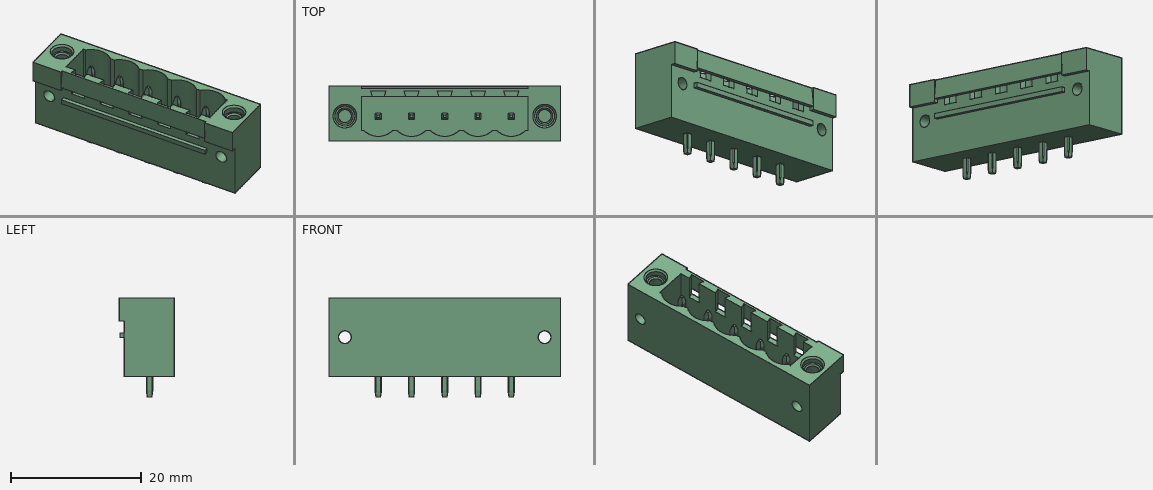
import cadquery as cq


length = 35.4
total_depth = 8.43
height = 12.05
body_depth = 7.68

end_lip_height = 3.55
mid_lip_height = 3.0
mid_lip_top_y = 8.07
mid_lip_bottom_y = 8.4

rib_bottom = 5.95
rib_height = 0.75
rib_depth = 0.65

pin_count = 5
pin_span = 20.32
pin_y = 3.8
pin_width = 1.0
pin_corner = 0.15
pin_bottom = -3.15
pin_top = 11.05
top_taper = 1.17
top_tip_width = 0.42
bottom_taper = 0.95
bottom_tip_width = 0.7

cavity_length = 25.5
cavity_front = 1.63
cavity_back = 6.83
cavity_floor = 2.83
bay_radius = 3.08

slot_mouth = 1.85
slot_root = 2.3
slot_floor = 7.95

flange_x = 15.25
insert_y = 3.82
insert_radius = 1.52
insert_top = 10.97
insert_length = 3.0
bore_radius = 1.0
bore_chamfer = 0.25
seat_chamfer = 0.3
cross_hole_diameter = 1.9
cross_hole_z = height / 2

insert_bottom = insert_top - insert_length
pin_pitch = pin_span / (pin_count - 1)
pin_positions = [(i - (pin_count - 1) / 2) * pin_pitch for i in range(pin_count)]


def box(x_size, y_min, y_max, z_min, z_max):
    """Box centred on X, given by its limits in Y and Z."""
    return (
        cq.Workplane("XY", origin=(0, (y_min + y_max) / 2, z_min))
        .rect(x_size, y_max - y_min)
        .extrude(z_max - z_min)
    )


def make_block():
    """Outer shape: body, lips and rib."""
    body = box(length, 0, body_depth, 0, height)
    end_lip_bottom = height - end_lip_height
    end_lips = box(length, body_depth, total_depth, end_lip_bottom, height).cut(
        box(cavity_length, body_depth, total_depth, end_lip_bottom, height)
    )
    mid_lip = (
        cq.Workplane("YZ", origin=(-cavity_length / 2, 0, 0))
        .moveTo(body_depth, height)
        .lineTo(mid_lip_top_y, height)
        .lineTo(mid_lip_bottom_y, height - mid_lip_height)
        .lineTo(body_depth, height - mid_lip_height)
        .close()
        .extrude(cavity_length)
    )
    rib = box(cavity_length, body_depth, body_depth + rib_depth, rib_bottom, rib_bottom + rib_height)
    return body.union(end_lips).union(mid_lip).union(rib)


def make_cavity():
    """Plug opening, with its front wall scalloped by cylinders around the contacts."""
    cavity = box(cavity_length, cavity_front, cavity_back, cavity_floor, height)
    bay_limits = box(cavity_length, 0, cavity_back, cavity_floor, height)
    for x in pin_positions:
        bay = (
            cq.Workplane("XY", origin=(x, pin_y, cavity_floor))
            .circle(bay_radius)
            .extrude(height - cavity_floor)
        )
        cavity = cavity.union(bay.intersect(bay_limits))
    return cavity


def make_slot(x):
    """Dovetail slot, as deep as the body, so that its foot opens at the back below the middle lip."""
    return (
        cq.Workplane("XY", origin=(x, 0, slot_floor))
        .moveTo(-slot_mouth / 2, cavity_back)
        .lineTo(-slot_root / 2, body_depth)
        .lineTo(slot_root / 2, body_depth)
        .lineTo(slot_mouth / 2, cavity_back)
        .close()
        .extrude(height - slot_floor)
    )


def make_seat(x):
    """Chamfered blind hole that holds an insert below the top face."""
    rim_radius = insert_radius + seat_chamfer
    return (
        cq.Workplane("XZ", origin=(x, insert_y, 0))
        .moveTo(0, insert_bottom)
        .lineTo(insert_radius, insert_bottom)
        .lineTo(insert_radius, height - seat_chamfer)
        .lineTo(rim_radius, height)
        .lineTo(0, height)
        .close()
        .revolve(360, (0, 0, 0), (0, 1, 0))
    )


def make_cross_hole(x):
    """Hole through the full depth of the block, along Y."""
    return (
        cq.Workplane("XZ", origin=(x, 0, cross_hole_z))
        .circle(cross_hole_diameter / 2)
        .extrude(-total_depth)
    )


def make_pin_blank(x):
    """Square contact with chamfered long edges, before its ends are tapered."""
    return (
        cq.Workplane("XY", origin=(x, pin_y, pin_bottom))
        .rect(pin_width, pin_width)
        .extrude(pin_top - pin_bottom)
        .edges("|Z")
        .chamfer(pin_corner)
    )


def make_pin(x):
    """Contact with a pyramid taper at both ends."""
    top_start = pin_top - top_taper
    bottom_start = pin_bottom + bottom_taper
    envelope = (
        cq.Workplane("XY", origin=(x, pin_y, bottom_start))
        .rect(pin_width, pin_width)
        .extrude(top_start - bottom_start)
    )
    top_end = (
        cq.Workplane("XY", origin=(x, pin_y, top_start))
        .rect(pin_width, pin_width)
        .workplane(offset=top_taper)
        .rect(top_tip_width, top_tip_width)
        .loft(ruled=True)
    )
    bottom_end = (
        cq.Workplane("XY", origin=(x, pin_y, pin_bottom))
        .rect(bottom_tip_width, bottom_tip_width)
        .workplane(offset=bottom_taper)
        .rect(pin_width, pin_width)
        .loft(ruled=True)
    )
    return make_pin_blank(x).intersect(envelope.union(top_end).union(bottom_end))


def make_insert(x):
    """Sleeve with a chamfered bore."""
    return (
        cq.Workplane("XY", origin=(x, insert_y, insert_bottom))
        .circle(insert_radius)
        .circle(bore_radius)
        .extrude(insert_length)
        .faces(">Z")
        .edges("%CIRCLE")
        .edges(cq.selectors.RadiusNthSelector(0))
        .chamfer(bore_chamfer)
    )


def make_housing():
    housing = make_block().cut(make_cavity())
    for x in pin_positions:
        housing = housing.cut(make_slot(x)).cut(make_pin_blank(x))
    for x in (-flange_x, flange_x):
        housing = housing.cut(make_seat(x)).cut(make_cross_hole(x))
    return housing


housing = make_housing()
pins = [make_pin(x) for x in pin_positions]
inserts = [make_insert(x) for x in (-flange_x, flange_x)]

bodies = [housing, *pins, *inserts]
result = cq.Compound.makeCompound([body.val() for body in bodies])